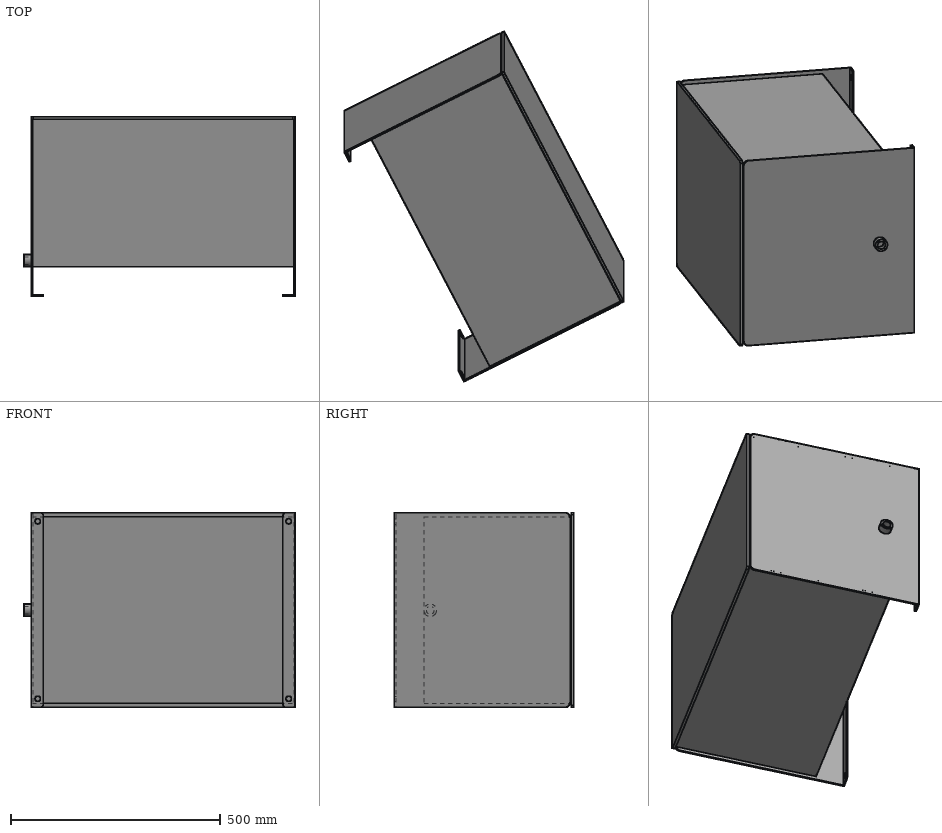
import cadquery as cq

total_length = 648.0
depth = 429.0
height = 465.0

boss_length = 17.5
sheet = 3.0
flange_width = 29.0
flange_corner_radius = 8.0
side_corner_radius = 11.5
hole_diameter = 13.0
hole_from_side = 15.5
hole_from_end = 21.0

panel_thickness = 6.5
panel_gap = 2.5
panel_corner_chamfer = 5.0

box_setback = 70.5
box_inset = 10.0

boss_diameter = 30.0
boss_bore = 19.0
boss_from_front = 85.5

left = -total_length / 2 + boss_length
right = total_length / 2
body_width = right - left
body_center = (left + right) / 2
front = -depth / 2
back = depth / 2


def block(x_size, y_size, z_size, x_center, y_start):
    """Block centred in X and Z that extends towards +Y from y_start."""
    return (
        cq.Workplane("XY")
        .box(x_size, y_size, z_size, centered=(True, False, True))
        .translate((x_center, y_start, 0))
    )


def side_bracket(edge, inward):
    """Side plate at X = edge with a drilled flange turned inward (+1 or -1)."""
    plate_depth = depth - panel_thickness - panel_gap
    plate = block(sheet, plate_depth, height, edge + inward * sheet / 2, front)
    plate = plate.edges("|X and >Y").fillet(side_corner_radius)

    flange = block(flange_width, sheet, height, edge + inward * flange_width / 2, front)
    inner_edges = "|Y and >X" if inward > 0 else "|Y and <X"
    flange = flange.edges(inner_edges).fillet(flange_corner_radius)

    hole_x = edge + inward * hole_from_side
    hole_z = height / 2 - hole_from_end
    holes = (
        cq.Workplane("XZ", origin=(0, front + sheet, 0))
        .pushPoints([(hole_x, hole_z), (hole_x, -hole_z)])
        .circle(hole_diameter / 2)
        .extrude(sheet)
    )
    return plate.union(flange.cut(holes))


def rear_panel():
    panel = block(body_width, panel_thickness, height, body_center, back - panel_thickness)
    return panel.edges("|Y").chamfer(panel_corner_chamfer)


def enclosure():
    """Closed box that fills the width between the plates and joins the rear panel."""
    box_depth = depth - box_setback - panel_thickness
    return block(
        body_width - 2 * sheet,
        box_depth,
        height - 2 * box_inset,
        body_center,
        front + box_setback,
    )


def side_boss():
    return (
        cq.Workplane("YZ", origin=(left, front + boss_from_front, 0))
        .circle(boss_diameter / 2)
        .circle(boss_bore / 2)
        .extrude(-boss_length)
    )


result = (
    enclosure()
    .union(rear_panel())
    .union(side_bracket(left, 1))
    .union(side_bracket(right, -1))
    .union(side_boss())
)